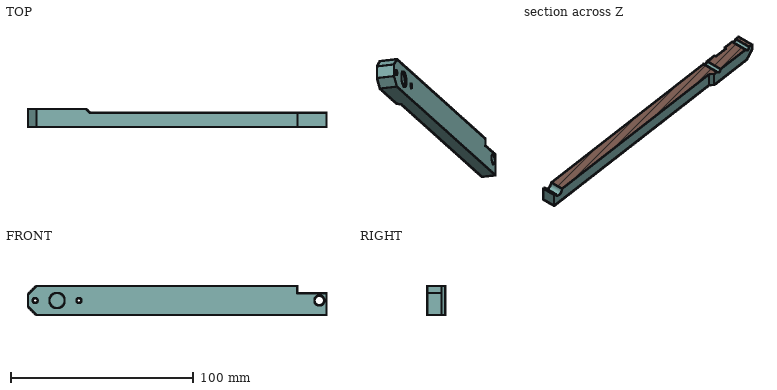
import cadquery as cq

length = 164.0
height = 16.0
mid_height = height / 2

head_thickness = 10.01
shank_thickness = 8.0
shank_step = head_thickness - shank_thickness
head_length = 32.0

nose_chamfer = 4.62

notch_length = 16.0
notch_depth = 4.0

pin_hole_diameter = 2.6
pin_hole_spacing = 24.0
pin_hole_inset = 4.0
pocket_diameter = 8.4
pocket_depth = 1.0
pocket_x = pin_hole_inset + pin_hole_spacing / 2
pivot_hole_diameter = 5.3
pivot_hole_inset = 4.0
pivot_hole_x = length - pivot_hole_inset


def make_side_profile():
    """Bar outline in XZ, extruded over the full head thickness."""
    return (
        cq.Workplane("XZ")
        .moveTo(nose_chamfer, 0)
        .lineTo(length, 0)
        .lineTo(length, height - notch_depth)
        .lineTo(length - notch_length, height - notch_depth)
        .lineTo(length - notch_length, height)
        .lineTo(nose_chamfer, height)
        .lineTo(0, height - nose_chamfer)
        .lineTo(0, nose_chamfer)
        .close()
        .extrude(-head_thickness)
    )


def make_plan_profile():
    """Plan outline in XY: thick head, 45 degree ramp, thinner shank."""
    return (
        cq.Workplane("XY")
        .lineTo(length, 0)
        .lineTo(length, shank_thickness)
        .lineTo(head_length + shank_step, shank_thickness)
        .lineTo(head_length, head_thickness)
        .lineTo(0, head_thickness)
        .close()
        .extrude(height)
    )


def make_bore(x, diameter, depth):
    """Cylinder entering the front face at mid height."""
    return cq.Workplane("XZ").center(x, mid_height).circle(diameter / 2).extrude(-depth)


result = make_side_profile().intersect(make_plan_profile())

for pin_hole_x in (pin_hole_inset, pin_hole_inset + pin_hole_spacing):
    result = result.cut(make_bore(pin_hole_x, pin_hole_diameter, head_thickness))

result = result.cut(make_bore(pocket_x, pocket_diameter, pocket_depth))

result = result.cut(make_bore(pivot_hole_x, pivot_hole_diameter, head_thickness))